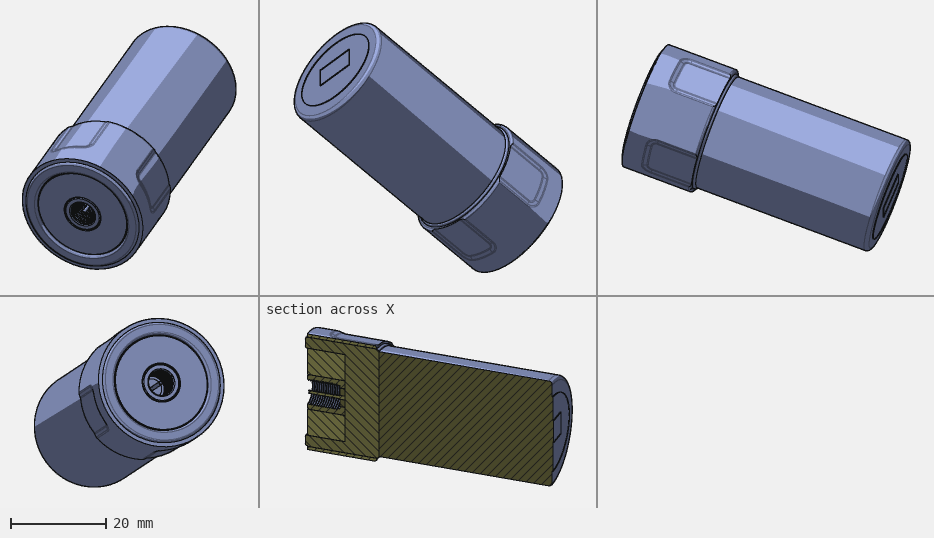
import cadquery as cq
import math

overall_length = 56.0

grip_radius = 13.75
grip_front = 0.5
grip_rear = 16.1
grip_round = 0.5
pocket_depth = 0.4
pocket_count = 4
first_pocket_angle = 67.5
pocket_half_angle = 21.6
pocket_end = 5.0
pocket_corner = 0.8
wall_run = 1.35
wall_drop = 0.5
wall_round = 0.8

cap_radius = 12.9
cap_length = 16.7
cap_round = 0.5

tube_radius = 12.5
tube_round = 0.85
badge_step = 0.15
badge_width = 19.4
badge_height = 17.6
emblem_width = 8.3
emblem_height = 5.15
emblem_rise = 0.7

plate_radius = 10.25
plate_front = 0.5
plate_rear = 8.95
plate_chamfer = 0.2
cap_bore_round = 0.5

shell_radius = 4.05
shell_edge = 0.2
plate_hole_edge = 0.15
thread_radius = 2.7
thread_depth = 0.3
thread_pitch = 0.5
thread_turns = 13
socket_depth = 7.3
insulator_radius = 2.1
pin_radius = 0.4
pin_tip_chamfer = 0.1
pin_recess = 0.3


def cylinder(radius, y_start, y_end):
    """Cylinder about the Y axis from y_start to y_end."""
    base = cq.Workplane("XZ", origin=(0, y_start, 0))
    return base.circle(radius).extrude(-(y_end - y_start))


def grip_sleeve(radius, rear):
    """Plain sleeve on the cap, from the grip's front end to the given rear end."""
    return cylinder(radius, grip_front, rear).cut(cylinder(cap_radius, grip_front, rear))


def pocket_cutter(angle):
    """Prism with two round corners that points outward, turned from +Z about Y by this angle."""
    rim_angle = math.radians(pocket_half_angle)
    half_width = grip_radius * math.sin(rim_angle - wall_run / grip_radius)
    closed_end = pocket_end + wall_run
    length = grip_rear + 2 * grip_round - closed_end
    prism = (
        cq.Workplane("XY")
        .box(2 * half_width, length, 2 * grip_radius, centered=(True, False, False))
        .edges("|Z and <Y")
        .fillet(pocket_corner)
        .translate((0, closed_end, 0))
    )
    return prism.rotate((0, 0, 0), (0, 1, 0), angle)


def pocket_edges(body, radius):
    """Edges round the pockets that lie on the cylinder of this radius, without its seam and ends."""

    def lies_on_cylinder(edge):
        points = [edge.positionAt(t) for t in (0.0, 0.5, 1.0)]
        return all(math.isclose(math.hypot(p.x, p.z), radius, abs_tol=0.005) for p in points)

    def is_inside_grip(edge):
        middle = edge.positionAt(0.5)
        is_seam = math.isclose(middle.z, 0, abs_tol=0.005)
        return not is_seam and grip_front < middle.y < grip_rear

    edges = [e for e in body.edges().vals() if lies_on_cylinder(e) and is_inside_grip(e)]
    return body.newObject(edges)


def make_grip():
    """Outer layer with sloped openings over a plain sleeve that forms the pocket floors."""
    floor_radius = grip_radius - pocket_depth
    blank_rear = grip_rear + grip_round
    layer = grip_sleeve(grip_radius, blank_rear)
    pocket_pitch = 360.0 / pocket_count
    for index in range(pocket_count):
        layer = layer.cut(pocket_cutter(first_pocket_angle + index * pocket_pitch))
    layer = pocket_edges(layer, grip_radius).chamfer(wall_run, wall_drop)

    grip = layer.union(grip_sleeve(floor_radius, blank_rear))
    grip = pocket_edges(grip, grip_radius).fillet(wall_round)
    grip = pocket_edges(grip, floor_radius).fillet(wall_round)

    envelope = cylinder(grip_radius, grip_front, grip_rear).faces(">Y").edges().fillet(grip_round)
    return grip.intersect(envelope)


def make_cap():
    cap = cylinder(cap_radius, 0, cap_length).edges("%CIRCLE").fillet(cap_round)
    cap = cap.cut(cylinder(plate_radius, 0, plate_rear))
    return cap.faces("<Y").edges(cq.selectors.RadiusNthSelector(0)).fillet(cap_bore_round)


def make_tube():
    end_face = overall_length - 2 * badge_step
    tube = cylinder(tube_radius, cap_length, end_face).faces(">Y").edges().fillet(tube_round)
    badge = (
        cq.Workplane("XZ", origin=(0, end_face, 0))
        .ellipse(badge_width / 2, badge_height / 2)
        .extrude(-badge_step)
    )
    emblem = (
        cq.Workplane("XZ", origin=(0, end_face + badge_step, 0))
        .center(0, emblem_rise)
        .rect(emblem_width, emblem_height)
        .extrude(-badge_step)
    )
    return tube.union(badge).union(emblem)


def make_plate():
    plate = cylinder(plate_radius, plate_front, plate_rear).faces("<Y").edges().chamfer(plate_chamfer)
    plate = plate.cut(cylinder(shell_radius, plate_front, plate_rear))
    return plate.faces("<Y").edges(cq.selectors.RadiusNthSelector(0)).chamfer(plate_hole_edge)


def make_shell():
    """Connector shell: threaded socket that narrows to the insulator's hole at its bottom."""
    socket_end = plate_front + socket_depth
    shell = cylinder(shell_radius, plate_front, plate_rear).faces("<Y").edges().chamfer(shell_edge)
    shell = shell.cut(cylinder(thread_radius, plate_front, socket_end))
    shell = shell.cut(cylinder(insulator_radius, socket_end, plate_rear))
    shell = shell.faces("<Y").edges(cq.selectors.RadiusNthSelector(0)).chamfer(thread_depth)
    for turn in range(thread_turns):
        shell = shell.cut(thread_groove(plate_front + (turn + 1) * thread_pitch))
    return shell


def thread_groove(y_centre):
    """Ring with a V section about the Y axis: one turn of the thread."""
    half_pitch = thread_pitch / 2
    return (
        cq.Workplane("XY")
        .moveTo(thread_radius, y_centre - half_pitch)
        .lineTo(thread_radius + thread_depth, y_centre)
        .lineTo(thread_radius, y_centre + half_pitch)
        .close()
        .revolve(360, (0, 0, 0), (0, 1, 0))
    )


def make_insulator():
    insulator = cylinder(insulator_radius, plate_front + socket_depth, plate_rear)
    return insulator.cut(cylinder(pin_radius, plate_front, plate_rear))


def make_pin():
    pin = cylinder(pin_radius, plate_front + pin_recess, plate_rear)
    return pin.faces("<Y").edges().chamfer(pin_tip_chamfer)


bodies = [
    make_grip(),
    make_cap(),
    make_tube(),
    make_plate(),
    make_shell(),
    make_insulator(),
    make_pin(),
]
result = cq.Compound.makeCompound([body.val() for body in bodies])